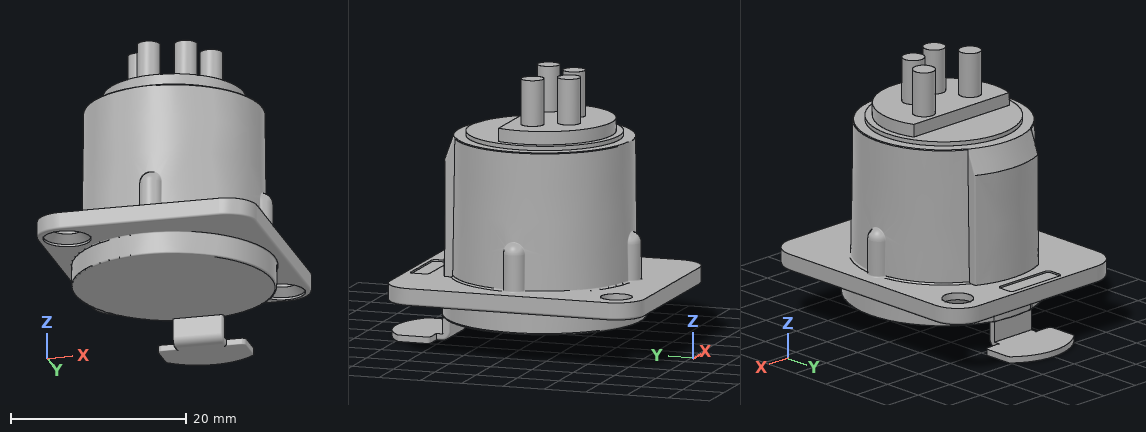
import cadquery as cq


flange_x, flange_y, flange_t = 25.9, 30.9, 2.05
flange_corner_r = 3.52
flange_bottom_fillet = 0.27
hole_x, hole_y = 9.5, 12.0
hole_d = 3.62
sink_d, sink_lip = 5.5, 0.27

label_x, label_y = 8.1, 2.28
label_center = (-0.4, 13.67)
label_depth, label_corner_r = 0.2, 0.5

disk_r, disk_h = 11.73, 2.68
disk_edge_fillet = 0.2
disk_root_fillet = 0.15
disk_gap_width = 6.03

body_top_z = 18.3
body_base_r, body_top_r = 10.65, 10.42
body_top_fillet = 0.1
rib_r, rib_reach, rib_straight_top_z = 1.3, 11.63, 6.45
rib_angles = (180, 270, 0)
key_width, key_base_r, key_slope_r = 10.12, 11.53, 11.45
key_slope_z = 15.38
key_edge_fillet = 0.2
body_root_fillet = 0.2
rib_root_fillet = 0.1

ring_r, ring_top_z = 9.0, 18.8
insert_r, insert_top_z, insert_flat_y = 8.18, 20.35, 2.9
pin_d, pin_top_z = 2.65, 25.67
pin_centers = [(-4.15, 0.05), (-2.05, -3.65), (2.1, -2.8), (4.12, 0.97)]

latch_bottom_z = -5.93
strip_width, strip_y_inner, strip_y_outer = 5.95, 10.42, 11.33
bend_r = 1.0
strip_edge_fillet = 0.27
plate_t, plate_width = 0.8, 10.45
plate_y_rear, plate_y_shoulder, plate_y_tip = 12.05, 16.0, 18.05
plate_corner_r = 0.55
plate_edge_fillet = 0.1

margin = 0.05


def edges_at_height(z, reach, reach_plus_y):
    """Selector for the edges lying in the plane at z, within reach of the axis."""
    return cq.selectors.BoxSelector(
        (-reach, -reach, z - margin), (reach, reach_plus_y, z + margin), True
    )


def cylinder(radius, z_low, z_high):
    return cq.Workplane("XY").workplane(offset=z_low).circle(radius).extrude(z_high - z_low)


def make_countersunk_hole():
    """Solid of one screw hole: a 45-degree countersink from below with a short straight lip."""
    hole_r, sink_r = hole_d / 2, sink_d / 2
    cone_top_z = sink_lip + sink_r - hole_r
    return (
        cq.Workplane("XZ")
        .polyline([
            (0, 0),
            (sink_r, 0),
            (sink_r, sink_lip),
            (hole_r, cone_top_z),
            (hole_r, flange_t),
            (0, flange_t),
        ])
        .close()
        .revolve(360, (0, 0), (0, 1))
    )


def make_flange():
    """Rounded plate with the disk below it, two countersunk holes and a label recess."""
    plate = (
        cq.Workplane("XY")
        .rect(flange_x, flange_y)
        .extrude(flange_t)
        .edges("|Z")
        .fillet(flange_corner_r)
        .faces("<Z")
        .edges()
        .fillet(flange_bottom_fillet)
    )
    disk = cylinder(disk_r, -disk_h, flange_t / 2).faces("<Z").edges().fillet(disk_edge_fillet)
    root = edges_at_height(0, disk_r + margin, disk_r + margin)
    flange = plate.union(disk).edges(root).edges("%CIRCLE").fillet(disk_root_fillet)
    gap = (
        cq.Workplane("XY")
        .box(disk_gap_width, disk_r + disk_root_fillet, disk_h, centered=(True, False, False))
        .translate((0, 0, -disk_h))
        .cut(cylinder(key_base_r, -disk_h, 0))
    )
    flange = flange.cut(gap)

    for side in (1, -1):
        flange = flange.cut(make_countersunk_hole().translate((side * hole_x, side * hole_y, 0)))

    label = (
        cq.Workplane("XY")
        .workplane(offset=flange_t - label_depth)
        .center(*label_center)
        .rect(label_x, label_y)
        .extrude(label_depth)
        .edges("|Z")
        .fillet(label_corner_r)
    )
    return flange.cut(label)


def make_cone():
    """Drafted round body, starting at the flange top."""
    return (
        cq.Workplane("XZ")
        .polyline([(0, flange_t), (body_base_r, flange_t), (body_top_r, body_top_z), (0, body_top_z)])
        .close()
        .revolve(360, (0, 0), (0, 1))
        .faces(">Z")
        .edges()
        .fillet(body_top_fillet)
    )


def make_rib(angle):
    """Half-buried round rib with a spherical top."""
    center = (rib_reach - rib_r, 0, 0)
    post = cylinder(rib_r, flange_t, rib_straight_top_z)
    dome = cq.Workplane("XY").sphere(rib_r).translate((0, 0, rib_straight_top_z))
    return post.union(dome).translate(center).rotate((0, 0, 0), (0, 0, 1), angle)


def make_key():
    """Keying land on the +Y side, its outer face sloping in to the body at the top."""
    land = (
        cq.Workplane("XZ")
        .polyline([
            (0, flange_t),
            (key_base_r, flange_t),
            (key_slope_r, key_slope_z),
            (body_top_r, body_top_z),
            (0, body_top_z),
        ])
        .close()
        .revolve(360, (0, 0), (0, 1))
    )
    window = cq.Workplane("XY").box(key_width, key_base_r, body_top_z, centered=(True, False, False))
    outer_edges = cq.selectors.BoxSelector(
        (-key_width, ring_r, flange_t + key_edge_fillet), (key_width, key_base_r, body_top_z)
    )
    return land.intersect(window).edges(outer_edges).edges("not %CIRCLE").fillet(key_edge_fillet)


def make_body():
    """Drafted body with its ribs blended in."""
    body = make_cone()
    for angle in rib_angles:
        body = body.union(make_rib(angle))
    return body.edges("%BSPLINE").fillet(rib_root_fillet)


def make_insert():
    """Ring and D-shaped contact carrier with four pins."""
    ring = cylinder(ring_r, body_top_z, ring_top_z)
    carrier = cylinder(insert_r, ring_top_z, insert_top_z)
    beyond_flat = cq.Workplane("XY").box(
        2 * insert_r, insert_r, insert_top_z, centered=(True, False, False)
    ).translate((0, insert_flat_y, 0))
    pins = (
        cq.Workplane("XY")
        .workplane(offset=insert_top_z)
        .pushPoints(pin_centers)
        .circle(pin_d / 2)
        .extrude(pin_top_z - insert_top_z)
    )
    return ring.union(carrier.cut(beyond_flat)).union(pins)


def make_latch():
    """Strip running down from the disk, bent outward into the thumb plate."""
    plate_top_z = latch_bottom_z + plate_t
    strip = (
        cq.Workplane("YZ")
        .moveTo(strip_y_inner, -disk_h)
        .lineTo(strip_y_inner, latch_bottom_z)
        .lineTo(plate_y_shoulder, latch_bottom_z)
        .lineTo(plate_y_shoulder, plate_top_z)
        .lineTo(strip_y_outer, plate_top_z)
        .lineTo(strip_y_outer, -disk_h)
        .close()
        .extrude(strip_width / 2, both=True)
        .edges("|X and <Y and <Z")
        .fillet(bend_r)
        .faces("<Y")
        .edges("|Z")
        .fillet(strip_edge_fillet)
    )
    half = plate_width / 2
    plate = (
        cq.Workplane("XY")
        .workplane(offset=latch_bottom_z)
        .moveTo(-half, plate_y_rear)
        .lineTo(half, plate_y_rear)
        .lineTo(half, plate_y_shoulder)
        .threePointArc((0, plate_y_tip), (-half, plate_y_shoulder))
        .close()
        .extrude(plate_t)
        .edges("|Z")
        .fillet(plate_corner_r)
        .faces("<Z")
        .edges()
        .fillet(plate_edge_fillet)
    )
    return strip.union(plate)


def join_body_to_flange(flange, body):
    """Set the body on the flange and fillet its foot, following the ribs."""
    foot = edges_at_height(flange_t, rib_reach + margin, body_base_r + margin)
    return flange.union(body).edges(foot).fillet(body_root_fillet)


result = (
    join_body_to_flange(make_flange(), make_body())
    .union(make_key())
    .union(make_insert())
    .union(make_latch())
)